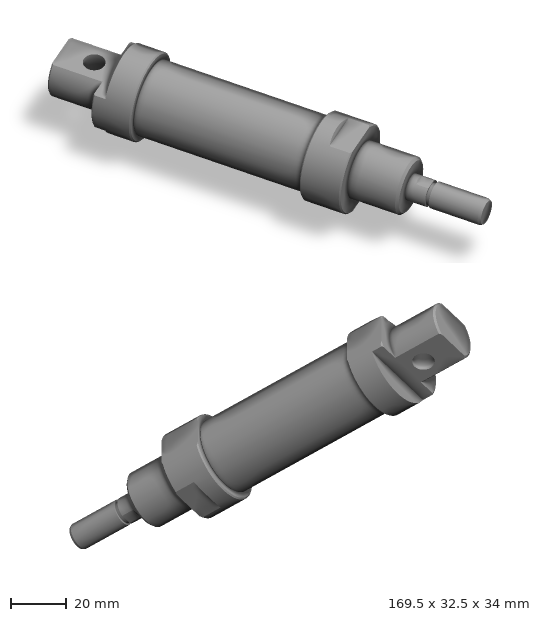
import cadquery as cq

OVERALL_LENGTH = 169.5
TAIL_LENGTH = 20.3
TONGUE_LENGTH = 25.1
REAR_CAP_END = 36.0
FRONT_CAP_START = 103.2
CAP_FLAT_START = 110.9
FRONT_CAP_END = 119.5
NOSE_END = 139.5
ROD_FLAT_START = 142.7
NECK_END = 147.5
THREAD_START = 149.0

OVERALL_WIDTH = 32.5

CAP_DIAMETER = 34.0
BARREL_DIAMETER = 29.0
CAP_RADIUS = CAP_DIAMETER / 2
BARREL_RADIUS = BARREL_DIAMETER / 2
NOSE_RADIUS = 11.0
ROD_RADIUS = 5.1
UNDERCUT_RADIUS = 4.2

CAP_SIDE_FLAT = OVERALL_WIDTH - CAP_RADIUS
TONGUE_HALF_THICKNESS = 8.0
CAP_WRENCH_FLAT = 15.1
ROD_WRENCH_FLAT = 4.5

CAP_FLAT_RUNOUT = 0.8
ROD_FLAT_RUNOUT = 0.5

PIVOT_HOLE_DIAMETER = 8.1
PIVOT_HOLE_X = 13.4

TAIL_CHAMFER = 0.7
CAP_CHAMFER = 0.5
NOSE_CHAMFER = 1.0
BARREL_CHAMFER = 0.3
ROD_CHAMFER_LENGTH = 1.0
ROD_CHAMFER_DEPTH = 0.5

CUTTER_REACH = CAP_DIAMETER


def cylinder(start, end, radius):
    """Cylinder about the X axis between two stations."""
    return cq.Workplane("YZ", origin=(start, 0, 0)).circle(radius).extrude(end - start)


def cut_flats(body, start, end, offset, radius, runout=0.0):
    """Cut parallel flats above and below the axis, with an optional sloped start.

    The slope meets the round surface of the given radius one runout length before the flat.
    """
    slope = runout / (radius - offset)
    for side in (1, -1):
        beyond_flat = (
            cq.Workplane("XZ")
            .moveTo(start, side * offset)
            .lineTo(end, side * offset)
            .lineTo(end, side * CUTTER_REACH)
            .lineTo(start - slope * (CUTTER_REACH - offset), side * CUTTER_REACH)
            .close()
            .extrude(CUTTER_REACH, both=True)
        )
        body = body.cut(beyond_flat)
    return body


def cap_disc(start, end):
    """Round cap with broken rims and one flat along its +Y side."""
    disc = cylinder(start, end, CAP_RADIUS).edges("%CIRCLE").chamfer(CAP_CHAMFER)
    beyond_flat = cq.Workplane("XY").box(
        OVERALL_LENGTH, CUTTER_REACH, 2 * CUTTER_REACH, centered=(False, False, True)
    )
    return disc.cut(beyond_flat.translate((0, CAP_SIDE_FLAT, 0)))


def make_rear_cap():
    """Rear cap with a flattened tail that forms the pivot tongue."""
    tail = cylinder(0, TAIL_LENGTH, NOSE_RADIUS).faces("<X").chamfer(TAIL_CHAMFER)
    cap = cap_disc(TAIL_LENGTH, REAR_CAP_END).union(tail)
    cap = cut_flats(cap, 0, TONGUE_LENGTH, TONGUE_HALF_THICKNESS, CAP_RADIUS)
    pivot_hole = (
        cq.Workplane("XY")
        .center(PIVOT_HOLE_X, 0)
        .circle(PIVOT_HOLE_DIAMETER / 2)
        .extrude(CAP_RADIUS, both=True)
    )
    return cap.cut(pivot_hole)


def make_barrel():
    """Barrel between the two caps, with lightly broken end edges."""
    tube = cylinder(REAR_CAP_END, FRONT_CAP_START, BARREL_RADIUS)
    return tube.edges("%CIRCLE").chamfer(BARREL_CHAMFER)


def make_front_cap():
    """Front cap with a pair of wrench flats and a round mounting nose."""
    cap = cap_disc(FRONT_CAP_START, FRONT_CAP_END)
    cap = cut_flats(
        cap, CAP_FLAT_START, FRONT_CAP_END, CAP_WRENCH_FLAT, CAP_RADIUS, CAP_FLAT_RUNOUT
    )
    nose = cylinder(FRONT_CAP_END, NOSE_END, NOSE_RADIUS).faces(">X").chamfer(NOSE_CHAMFER)
    return cap.union(nose)


def make_rod():
    """Piston rod end: neck with wrench flats, undercut and threaded tip."""
    neck = cylinder(NOSE_END, NECK_END, ROD_RADIUS)
    neck = cut_flats(neck, ROD_FLAT_START, NECK_END, ROD_WRENCH_FLAT, ROD_RADIUS, ROD_FLAT_RUNOUT)
    undercut = cylinder(NECK_END, THREAD_START, UNDERCUT_RADIUS)
    tip = cylinder(THREAD_START, OVERALL_LENGTH, ROD_RADIUS)
    taper_section = [
        (OVERALL_LENGTH, ROD_RADIUS),
        (OVERALL_LENGTH, ROD_RADIUS - ROD_CHAMFER_DEPTH),
        (OVERALL_LENGTH - ROD_CHAMFER_LENGTH, ROD_RADIUS),
    ]
    taper = cq.Workplane("XY").polyline(taper_section).close().revolve(360, (0, 0, 0), (1, 0, 0))
    return neck.union(undercut).union(tip.cut(taper))


rear_cap = make_rear_cap()
barrel = make_barrel()
front_cap = make_front_cap()
rod = make_rod()

result = cq.Compound.makeCompound([rear_cap.val(), barrel.val(), front_cap.val(), rod.val()])